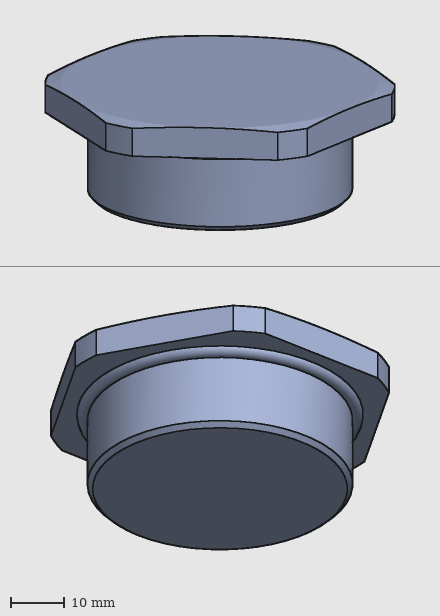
import cadquery as cq
import math

corner_diameter = 66.0
across_flats = 60.0
total_height = 22.0
head_height = 6.0
corner_bevel_angle = 10.0
shank_diameter = 50.0
shank_chamfer = 1.0
ring_outer_diameter = 54.0
ring_cord_diameter = 3.0

flat_radius = across_flats / 2
corner_radius = corner_diameter / 2
hexagon_corner_diameter = across_flats / math.cos(math.radians(30))
bevel_drop = (corner_radius - flat_radius) * math.tan(math.radians(corner_bevel_angle))
ring_cord_radius = ring_cord_diameter / 2
ring_center_radius = ring_outer_diameter / 2 - ring_cord_radius
ring_center_z = -head_height


def make_head():
    """Hexagonal head with turned corners and a conical bevel around the top face."""
    hexagon = (
        cq.Workplane("XY")
        .workplane(offset=-head_height)
        .polygon(6, hexagon_corner_diameter)
        .extrude(head_height)
        .rotate((0, 0, 0), (0, 0, 1), 30)
    )
    blank = (
        cq.Workplane("XZ")
        .moveTo(0, -head_height)
        .lineTo(corner_radius, -head_height)
        .lineTo(corner_radius, -bevel_drop)
        .lineTo(flat_radius, 0)
        .lineTo(0, 0)
        .close()
        .revolve(360, (0, 0), (0, 1))
    )
    return hexagon.intersect(blank)


def make_shank():
    """Round shank below the head, chamfered at its free end."""
    return (
        cq.Workplane("XY")
        .workplane(offset=-total_height)
        .circle(shank_diameter / 2)
        .extrude(total_height - head_height)
        .faces("<Z")
        .edges()
        .chamfer(shank_chamfer)
    )


def make_sealing_ring():
    """O-ring of round cord, lying in the corner between head and shank."""
    return (
        cq.Workplane("XZ")
        .center(ring_center_radius, ring_center_z)
        .circle(ring_cord_radius)
        .revolve(360, (-ring_center_radius, 0), (-ring_center_radius, 1))
    )


def make_plug(ring):
    """Head and shank in one piece, with a groove that fits the sealing ring."""
    return make_head().union(make_shank()).cut(ring)


sealing_ring = make_sealing_ring()
plug = make_plug(sealing_ring)

result = cq.Compound.makeCompound([plug.solids().val(), sealing_ring.val()])